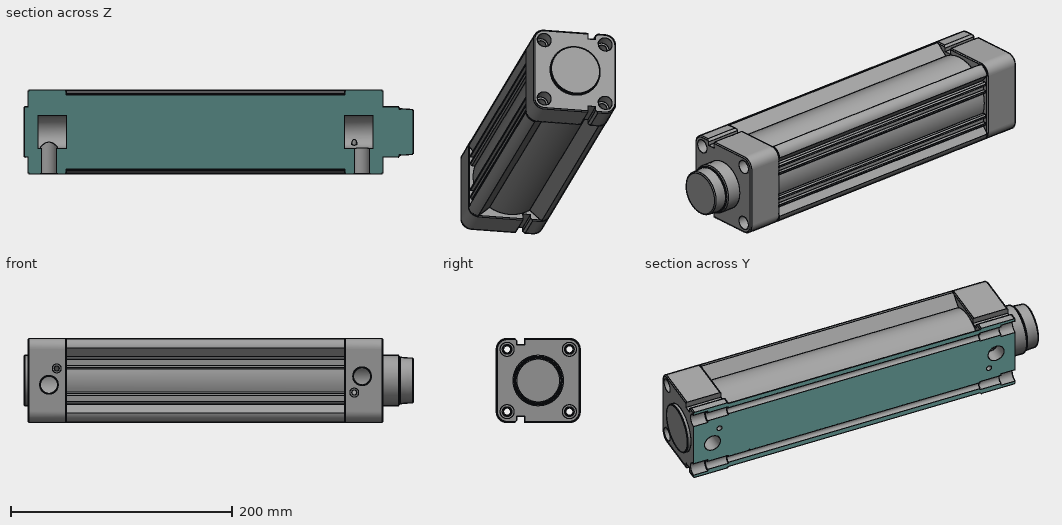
import cadquery as cq

SIDE = 76.0
HALF = SIDE / 2
BODY_LENGTH = 321.0
CAP_LENGTH = 35.0
TUBE_LENGTH = BODY_LENGTH - 2 * CAP_LENGTH
CORNER_RADIUS = 10.0
RIM_CHAMFER = 1.0

BARREL_RADIUS = 33.8
FLANK_OUTER = 29.5
FLANK_INNER = 18.3
FLANK_INNER_HEIGHT = 28.0

RAIL_INNER = 10.5
RAIL_OUTER = 22.0
RAIL_FACE = 36.3
RAIL_CHAMFER = 1.5
LIP_WIDTH = 2.8
GROOVE_INNER = RAIL_INNER + LIP_WIDTH
GROOVE_OUTER = RAIL_OUTER - LIP_WIDTH
GROOVE_DEPTH = 3.5

SLOT_WIDTH = 7.0
SLOT_DEPTH = 5.5
SLOT_Y = -16.0
SLOT_BEVEL = 2.0

BOLT_OFFSET = 28.0
BOLT_CENTRES = [(y, z) for y in (-BOLT_OFFSET, BOLT_OFFSET) for z in (-BOLT_OFFSET, BOLT_OFFSET)]
BOLT_HEAD_DIAMETER = 12.5
BOLT_HEAD_DEPTH = 14.0
BOLT_CAP_DIAMETER = 8.8
BOLT_TUBE_DIAMETER = 6.5

PORT_DIAMETER = 15.5
PORT_CHAMFER = 0.7
PORT_FROM_END = 19.0
PORT_Z = -4.0
SCREW_DIAMETER = 8.0
SCREW_HEAD_DEPTH = 0.7
SCREW_HOLE_DIAMETER = 4.5
SCREW_FROM_END = 26.0
SCREW_Z = 11.0
CHAMBER_DIAMETER = 29.5
CHAMBER_FROM_END = 9.0

SPIGOT_RADIUS = 23.0
SPIGOT_LENGTH = 3.5
SPIGOT_CHAMFER = 0.7
COLLAR_END = 14.8
COLLAR_CHAMFER = 1.0
NOSE_ROOT_RADIUS = 20.5
NOSE_RADIUS = 21.0
NOSE_TIP_RADIUS = 20.5
NOSE_START = 16.0
NOSE_LENGTH = 27.5
NOSE_CHAMFER = 1.0


def box(x_range, y_range, z_range):
    """Axis-aligned box between the given limits."""
    size = [high - low for low, high in (x_range, y_range, z_range)]
    corner = (x_range[0], y_range[0], z_range[0])
    return cq.Workplane("XY").box(*size, centered=False).translate(corner)


def rod(diameter, x_start, x_end, y=0, z=0):
    """Cylinder parallel to X."""
    plane = cq.Workplane("YZ", origin=(x_start, y, z))
    return plane.circle(diameter / 2).extrude(x_end - x_start)


def square_bar(length):
    """Square bar along X with rounded long edges."""
    bar = cq.Workplane("YZ").rect(SIDE, SIDE).extrude(length)
    return bar.edges("|X").fillet(CORNER_RADIUS)


def sensor_rails():
    """Two rails on the +Y side of the barrel, and the cutters for their grooves."""
    x_range = (0, TUBE_LENGTH)
    rail = box(x_range, (0, RAIL_FACE), (RAIL_INNER, RAIL_OUTER))
    groove_floor = RAIL_FACE - GROOVE_DEPTH
    groove = box(x_range, (groove_floor, HALF), (GROOVE_INNER, GROOVE_OUTER))
    rail = rail.faces(">Y").edges("|X").chamfer(RAIL_CHAMFER).cut(groove)
    return rail.union(rail.mirror("XY")), groove.union(groove.mirror("XY"))


def tube():
    """Profiled tube: corner ribs, recessed sides, sensor rails and tie-rod holes."""
    recess = (
        cq.Workplane("YZ")
        .polyline([
            (-FLANK_OUTER, HALF),
            (-FLANK_INNER, FLANK_INNER_HEIGHT),
            (FLANK_INNER, FLANK_INNER_HEIGHT),
            (FLANK_OUTER, HALF),
        ])
        .close()
        .extrude(TUBE_LENGTH)
    )
    body = square_bar(TUBE_LENGTH)
    for quarter in range(4):
        body = body.cut(recess.rotate((0, 0, 0), (1, 0, 0), 90 * quarter))
    body = body.union(rod(2 * BARREL_RADIUS, 0, TUBE_LENGTH))
    rails, grooves = sensor_rails()
    for side in (rails, rails.mirror("XZ")):
        body = body.union(side)
    for side in (grooves, grooves.mirror("XZ")):
        body = body.cut(side)
    for y, z in BOLT_CENTRES:
        body = body.cut(rod(BOLT_TUBE_DIAMETER, 0, TUBE_LENGTH, y, z))
    return body.translate((CAP_LENGTH, 0, 0))


def cap_slot():
    """Cutter for the slot across the top of a cap, with its bevelled outer lip."""
    inner = SLOT_Y + SLOT_WIDTH / 2
    outer = SLOT_Y - SLOT_WIDTH / 2
    floor = HALF - SLOT_DEPTH
    return (
        cq.Workplane("YZ")
        .polyline([
            (inner, HALF),
            (inner, floor),
            (outer, floor),
            (outer, HALF - SLOT_BEVEL),
            (outer - SLOT_BEVEL, HALF),
        ])
        .close()
        .extrude(CAP_LENGTH)
    )


def drill(diameter, x, z, depth):
    """Cutter for a hole bored from the -Y face."""
    plane = cq.Workplane("XZ", origin=(x, -HALF, z))
    return plane.circle(diameter / 2).extrude(-depth)


def cap():
    """Head cap with its outer face at X = 0."""
    body = square_bar(CAP_LENGTH).faces("<X or >X").edges().chamfer(RIM_CHAMFER)
    slot = cap_slot()
    body = body.cut(slot).cut(slot.mirror("XY"))
    body = body.cut(rod(CHAMBER_DIAMETER, CHAMBER_FROM_END, CAP_LENGTH))

    body = body.cut(drill(PORT_DIAMETER, PORT_FROM_END, PORT_Z, HALF))
    port_rim = cq.Solid.makeCone(
        PORT_DIAMETER / 2 + PORT_CHAMFER,
        PORT_DIAMETER / 2,
        PORT_CHAMFER,
        cq.Vector(PORT_FROM_END, -HALF, PORT_Z),
        cq.Vector(0, 1, 0),
    )
    body = body.cut(cq.Workplane(port_rim))
    body = body.cut(drill(SCREW_DIAMETER, SCREW_FROM_END, SCREW_Z, SCREW_HEAD_DEPTH))
    body = body.cut(drill(SCREW_HOLE_DIAMETER, SCREW_FROM_END, SCREW_Z, HALF))

    for y, z in BOLT_CENTRES:
        body = body.cut(rod(BOLT_HEAD_DIAMETER, 0, BOLT_HEAD_DEPTH, y, z))
        body = body.cut(rod(BOLT_CAP_DIAMETER, 0, CAP_LENGTH, y, z))
    return body


def spigot():
    """Short round spigot on the head cap."""
    disc = rod(2 * SPIGOT_RADIUS, -SPIGOT_LENGTH, 0)
    return disc.faces("<X").edges().chamfer(SPIGOT_CHAMFER)


def nose():
    """Collar and tapered nose on the rod-side cap."""
    half_section = [
        (0, 0),
        (0, SPIGOT_RADIUS),
        (COLLAR_END - COLLAR_CHAMFER, SPIGOT_RADIUS),
        (COLLAR_END, SPIGOT_RADIUS - COLLAR_CHAMFER),
        (COLLAR_END, NOSE_ROOT_RADIUS),
        (NOSE_START, NOSE_RADIUS),
        (NOSE_LENGTH - NOSE_CHAMFER, NOSE_TIP_RADIUS),
        (NOSE_LENGTH, NOSE_TIP_RADIUS - NOSE_CHAMFER),
        (NOSE_LENGTH, 0),
    ]
    turned = cq.Workplane("XY").polyline(half_section).close()
    return turned.revolve(360, (0, 0, 0), (1, 0, 0)).translate((BODY_LENGTH, 0, 0))


head_cap = cap()
rod_cap = head_cap.rotate((0, 0, 0), (0, 1, 0), 180).translate((BODY_LENGTH, 0, 0))

result = tube().union(head_cap).union(rod_cap).union(spigot()).union(nose())